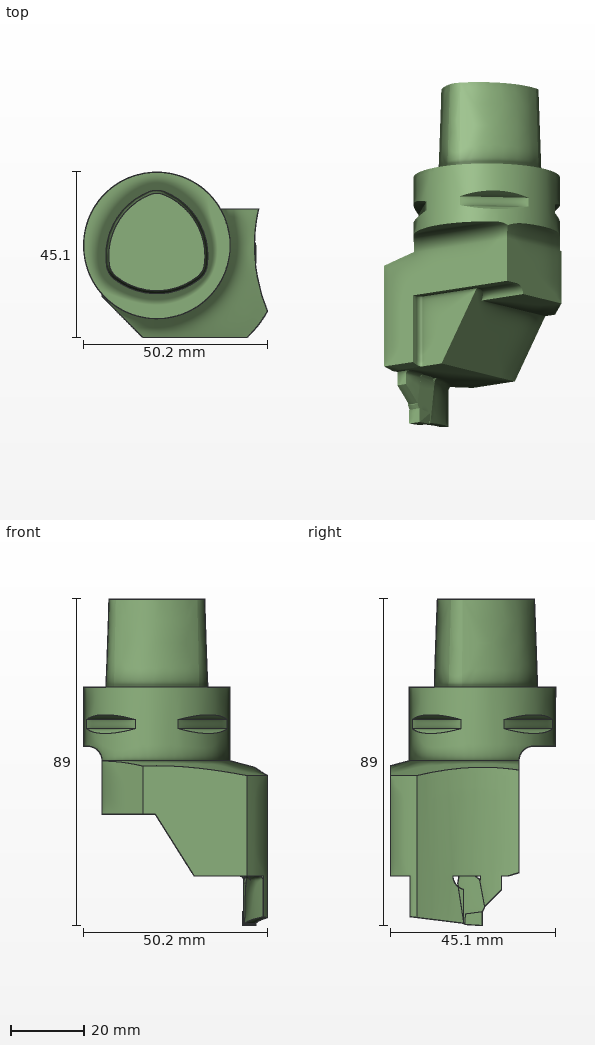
import cadquery as cq
import math


shank_height = 24.0
shank_taper = 2.0
lobe_reach = 15.0
side_reach = 13.2
lobe_radius = 5.7

flange_radius = 40.0 / 2
flange_height = 20.0
step_depth = 16.1
step_fillet = flange_height - step_depth

groove_z = -10.1
groove_face_distance = 17.6
groove_floor_height = 2.4
groove_flare = 30.0

head_left = -14.95
head_back = 10.0
head_front = -25.1
left_corner_y = -13.9
front_corner_x = -3.8
nose_start_x = 24.6
nose_x = 30.2
nose_y = -17.9
nose_bulge = 0.4
back_right_x = 27.8
hollow_x = 26.6
shoulder_slope = 15.0
shoulder_radius = 40.05
heel_z = -34.6
head_bottom = -51.45
slope_top_x = -0.45
slope_bottom_x = 10.15

relief_roof = -32.0
relief_edge_y = 2.85
relief_radius = 2.85
recess_y = 7.0
recess_x = 17.8
recess_fillet = 1.2
back_bevel = 0.9

blade_inner_x = 23.6
blade_front_y = -19.8
blade_front_x = 28.9
blade_back_y = 5.25
blade_root_fillet = 1.1
blade_back_height = 55.2
tip_z = shank_height - 89
blade_bottom_rise = 7.0
rear_gap_radius = 3.7
rear_gap_y = -4.3

insert_inner_x = 23.6
insert_outer_x = 26.9
tip_inner_x = 23.3
tip_outer_x = 27.0
seat_top_y = -0.8
seat_top_z = -52.3
rake_y = 0.6
rake_z = -60.0
tip_top_z = -61.15
tip_rear_y = -4.8
tip_rear_top_y = -4.6
tip_rear_top_z = -61.8
insert_rear_y = -6.8
insert_rear_z = -53.4
insert_foot_y = -5.1
insert_foot_z = -64.35
insert_top_front_y = -2.0
insert_top_rear_y = -6.4
bevel_depth = 0.5
end_bevel_width = 2.7
tip_bevel_width = 3.6
tip_bottom_rise = 3.5

margin = 17.8


def yz_prism(outline, x_start, x_end):
    """Extrude a closed (y, z) outline along X."""
    return (
        cq.Workplane("YZ", origin=(x_start, 0, 0))
        .polyline(outline)
        .close()
        .extrude(x_end - x_start)
    )


def block(x, y, z):
    """Box between the given (low, high) pairs."""
    return cq.Workplane("XY").box(
        x[1] - x[0], y[1] - y[0], z[1] - z[0], centered=False
    ).translate((x[0], y[0], z[0]))


def polar(radius, degrees):
    angle = math.radians(degrees)
    return (radius * math.cos(angle), radius * math.sin(angle))


def make_shank():
    lobe_centre = lobe_reach - lobe_radius
    reach = side_reach - lobe_radius
    side_centre = (lobe_centre**2 - reach**2) / (2 * reach - lobe_centre)
    side_radius = side_reach + side_centre
    half_side = math.degrees(math.atan2(
        lobe_centre * math.sin(math.radians(60)),
        lobe_centre * math.cos(math.radians(60)) + side_centre,
    ))
    join_x, join_y = polar(side_radius, half_side)
    join_radius = math.hypot(join_x - side_centre, join_y)
    join_angle = math.degrees(math.atan2(join_y, join_x - side_centre))

    outline = cq.Workplane("XY").moveTo(*polar(join_radius, 30 - join_angle))
    for side_angle in (30, 150, 270):
        outline = outline.threePointArc(
            polar(side_reach, side_angle), polar(join_radius, side_angle + join_angle)
        )
        outline = outline.threePointArc(
            polar(lobe_reach, side_angle + 60),
            polar(join_radius, side_angle + 120 - join_angle),
        )
    return outline.close().extrude(shank_height, taper=shank_taper)


def make_groove_cutter():
    depth = flange_radius - groove_face_distance + 0.9
    half_floor = groove_floor_height / 2
    half_mouth = half_floor + depth * math.tan(math.radians(groove_flare))
    floor = groove_face_distance
    return (
        cq.Workplane("XZ", origin=(0, flange_radius, groove_z))
        .polyline([
            (floor, -half_floor),
            (floor + depth, -half_mouth),
            (floor + depth, half_mouth),
            (floor, half_floor),
        ])
        .close()
        .extrude(2 * flange_radius)
    )


def make_flange():
    flange = cq.Workplane("XY").circle(flange_radius).extrude(-flange_height)
    below = (-flange_height - margin, -step_depth)
    far = flange_radius + margin
    left_step = block((-far, head_left), (-far, far), below).edges("|Y and >X and >Z")
    back_step = block((-far, far), (head_back, far), below).edges("|X and <Y and >Z")
    flange = flange.cut(left_step.fillet(step_fillet)).cut(back_step.fillet(step_fillet))
    groove = make_groove_cutter()
    for angle in (45, 135, 225, 315):
        flange = flange.cut(groove.rotate((0, 0, 0), (0, 0, 1), angle))
    return flange


def nose_arc_middle():
    run_x = nose_x - nose_start_x
    run_y = nose_y - head_front
    length = math.hypot(run_x, run_y)
    return (
        (nose_x + nose_start_x) / 2 + nose_bulge * run_y / length,
        (nose_y + head_front) / 2 - nose_bulge * run_x / length,
    )


def make_head_block():
    """Plan outline of the head, reaching from the flange down to the tip."""
    return (
        cq.Workplane("XY", origin=(0, 0, -flange_height))
        .moveTo(head_left, head_back)
        .lineTo(head_left, left_corner_y)
        .lineTo(front_corner_x, head_front)
        .lineTo(nose_start_x, head_front)
        .threePointArc(nose_arc_middle(), (nose_x, nose_y))
        .threePointArc((hollow_x, 0), (back_right_x, head_back))
        .close()
        .extrude(tip_z + flange_height)
    )


def make_shoulder_envelope():
    drop = (shoulder_radius - flange_radius) * math.tan(math.radians(shoulder_slope))
    return (
        cq.Workplane("XZ")
        .polyline([
            (0, -flange_height),
            (flange_radius, -flange_height),
            (shoulder_radius, -flange_height - drop),
            (shoulder_radius, tip_z),
            (0, tip_z),
        ])
        .close()
        .revolve(360, (0, 0), (0, 1))
    )


def slope_x(z):
    run = (slope_bottom_x - slope_top_x) / (head_bottom - heel_z)
    return slope_top_x + (z - heel_z) * run


def make_head():
    head = make_head_block().intersect(make_shoulder_envelope())
    head = head.cut(block((-margin, nose_x + margin), (head_front - margin, margin),
                          (tip_z - margin, head_bottom)))
    under_slope = (
        cq.Workplane("XZ", origin=(0, margin, 0))
        .polyline([
            (head_left - margin, heel_z),
            (slope_top_x, heel_z),
            (slope_bottom_x, head_bottom),
            (head_left - margin, head_bottom),
        ])
        .close()
        .extrude(margin - head_front + margin)
    )
    head = head.cut(under_slope)

    relief = (
        block((head_left - 0.9, recess_x), (relief_edge_y, margin), (heel_z - margin, relief_roof))
        .edges("|X and <Y and >Z")
        .fillet(relief_radius)
    )
    left_of_slope = (
        cq.Workplane("XZ", origin=(0, margin, 0))
        .polyline([
            (head_left - margin, relief_roof),
            (slope_x(relief_roof), relief_roof),
            (slope_bottom_x, head_bottom),
            (head_left - margin, head_bottom),
        ])
        .close()
        .extrude(2 * margin)
    )
    head = head.cut(relief.intersect(left_of_slope))

    recess = (
        block((head_left - 0.9, recess_x), (recess_y, margin), (head_bottom - 0.9, relief_roof))
        .edges("|Z and >X and <Y")
        .fillet(recess_fillet)
    )
    bevel = yz_prism(
        [(recess_y, head_bottom), (head_back, head_bottom), (head_back, head_bottom + back_bevel)],
        slope_bottom_x, nose_x,
    )
    return head.cut(recess).cut(bevel)


def make_blade():
    bottom_front_z = tip_z - blade_front_y * math.tan(math.radians(blade_bottom_rise))
    back_run = blade_back_y - rake_y
    side_profile = yz_prism(
        [
            (blade_back_y, head_bottom),
            (blade_back_y, -blade_back_height),
            (rake_y, -blade_back_height - back_run),
            (0, tip_top_z),
            (0, tip_z),
            (blade_front_y, bottom_front_z),
            (blade_front_y, head_bottom),
        ],
        blade_inner_x - 0.9, nose_x + 0.9,
    )
    sag = blade_front_x - blade_inner_x
    inner_radius = (blade_front_y**2 + sag**2) / (2 * sag)
    hollow = (
        cq.Workplane("XY", origin=(blade_inner_x + inner_radius, 0, tip_z))
        .circle(inner_radius)
        .extrude(head_bottom - tip_z)
    )
    return make_head_block().intersect(side_profile).intersect(hollow)


def make_rear_gap():
    """Round clearance behind the insert, stopping at the underside of the head."""
    gap_start = blade_inner_x - 0.9
    cylinder = (
        cq.Workplane("YZ", origin=(gap_start, rear_gap_y, head_bottom))
        .circle(rear_gap_radius)
        .extrude(margin)
    )
    below_head = block((gap_start, gap_start + margin), (-margin, margin), (tip_z, head_bottom))
    return cylinder.intersect(below_head)


def make_holder(insert, tip):
    holder = make_shank().union(make_flange()).union(make_head()).union(make_blade())
    blade_root = cq.selectors.BoxSelector(
        (blade_inner_x - 0.9, blade_front_y, head_bottom - 0.1),
        (blade_front_x, blade_back_y, head_bottom + 0.1),
    )
    holder = holder.edges(blade_root).edges("%CIRCLE").fillet(blade_root_fillet)
    return holder.cut(make_rear_gap()).cut(insert).cut(tip)


def tip_bottom_z(y):
    return tip_z - y * math.tan(math.radians(tip_bottom_rise))


def make_bevel_cutter(x, start, end, depth, width):
    """Wedge along the line from start to end, in (y, z), deepening away from it."""
    run = (end[0] - start[0], end[1] - start[1])
    line = cq.Plane(origin=(x, *start), xDir=(1, 0, 0), normal=(0, *run))
    return (
        cq.Workplane(line)
        .workplane(offset=-margin / 2)
        .polyline([(0, 0), (depth, width), (-0.9, width), (-0.9, 0)])
        .close()
        .extrude(math.hypot(*run) + margin)
    )


def make_insert():
    body = yz_prism(
        [
            (seat_top_y, seat_top_z),
            (rake_y, rake_z),
            (0, tip_top_z),
            (tip_rear_top_y, tip_rear_top_z),
            (tip_rear_y, tip_bottom_z(tip_rear_y)),
            (insert_foot_y, insert_foot_z),
            (insert_rear_y, insert_rear_z),
            (insert_top_rear_y, head_bottom),
            (insert_top_front_y, head_bottom),
        ],
        insert_inner_x, insert_outer_x,
    )
    end_bevel = make_bevel_cutter(
        insert_inner_x, (seat_top_y, seat_top_z), (insert_rear_y, insert_rear_z),
        bevel_depth, end_bevel_width,
    )
    return body.cut(end_bevel)


def make_tip():
    body = yz_prism(
        [
            (0, tip_top_z),
            (0, tip_z),
            (tip_rear_y, tip_bottom_z(tip_rear_y)),
            (tip_rear_top_y, tip_rear_top_z),
        ],
        tip_inner_x, tip_outer_x,
    )
    clearance = make_bevel_cutter(
        tip_inner_x, (tip_rear_top_y, tip_rear_top_z), (0, tip_z),
        bevel_depth, tip_bevel_width,
    )
    return body.cut(clearance)


insert = make_insert()
tip = make_tip()
holder = make_holder(insert, tip)

result = cq.Compound.makeCompound([holder.val(), insert.val(), tip.val()])